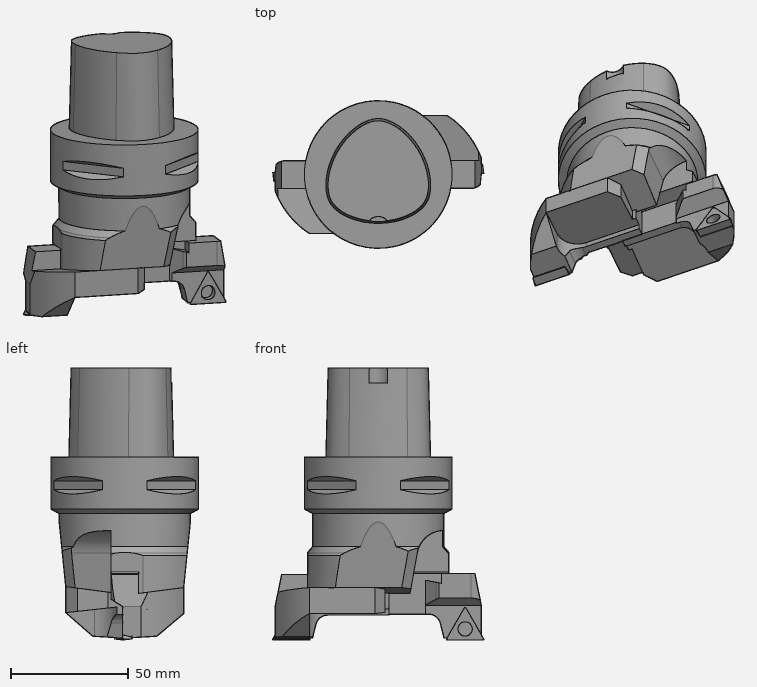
import cadquery as cq
import math


shank_length = 38.0
shank_mean_diameter = 44.7
shank_lobe_offset = 1.5
shank_diameter_taper = 1 / 20
shank_flank_half_angle = 23.3
shank_curve_points = 24
key_radius = 5.0
key_center_y = -22.9
key_depth = 6.5

flange_diameter = 63.0
flange_height = 22.2
flange_chamfer_height = 1.9
hub_diameter = 56.0
collar_start_z = -38.2
collar_edge_z = -40.9
collar_edge_radius = 30.35
collar_full_z = -42.0
collar_radius = 31.1
collar_half_width = 30.1

groove_z = -12.0
groove_floor_radius = 27.9
groove_floor_height = 3.7
groove_flank_angle = 27.5

side_top_z = -27.7
side_top_y = 28.0
arm_half_width = 25.2

tongue_half_width = 5.95
tongue_top_z = -49.6
tongue_groove_top_z = -49.0
seat_inner_z = -57.7
seat_outer_z = -55.2
left_seat_drop = 0.4

pocket_top_z = -31.3
pocket_radius = 11.5
pocket_upper_x, pocket_upper_z = 16.6, -41.0
pocket_lower_x, pocket_lower_z = 13.4, -59.0
pocket_chamfer = 4.0

arm_tip_x = 44.0
arm_tip_top_x = 41.2
arm_inner_x = -2.9
arm_foot_inner_x = -4.5
arm_foot_y = 7.1
arm_shoulder_x = 29.4
arm_back_y = 6.9
arm_back_middle = (37.6, 17.9)
block_round_x, block_round_y = 39.5, -3.8
end_chamfer_x, end_chamfer_y = 4.2, 5.0
arm_side_bottom_z = -66.3
bevel_end_y, bevel_end_z = 13.6, -76.4
tip_bottom_z = -77.2
split_plane_y = 0.0

block_x = 25.8
block_upper_x = 27.0
block_root_x = 20.1
block_facet_x, block_facet_y = 24.6, -4.9
block_notch_z, block_notch_outer_z = -52.5, -53.8
undercut_outer_z, undercut_inner_z = -60.1, -63.3

arch_top_z = -67.0
arch_radius = 5.0
arch_end_x = 28.0
arch_wall_slope = 0.25
clearance_y = 3.2
clearance_inner_z, clearance_outer_z = -63.9, -66.3
clearance_radius = 9.7

insert_inner_radius = 4.7625
insert_corner_radius = 0.4
insert_thickness = 3.97
insert_relief_angle = 7.0
insert_hole_diameter = 6.1
cutting_radius = 44.99
cutting_z = -78.0
right_rake_y = 0.5
left_rake_y = -0.9

reach = 100.0
small_overshoot = 1.0


def half_turn(shape):
    return shape.rotate((0, 0, 0), (0, 0, 1), 180)


def prism_along_x(points):
    """Long prism with a (y, z) outline."""
    return cq.Workplane("YZ", origin=(-reach, 0, 0)).polyline(points).close().extrude(2 * reach)


def prism_along_y(points):
    """Long prism with an (x, z) outline."""
    return cq.Workplane("XZ", origin=(0, reach, 0)).polyline(points).close().extrude(2 * reach)


def seat_z(y):
    """Height of the tilted seat at a distance y from the middle plane."""
    slope = (seat_outer_z - seat_inner_z) / (arm_half_width - tongue_half_width)
    return seat_inner_z + slope * (y - tongue_half_width)



def shank_section(z):
    radius = (shank_mean_diameter - shank_diameter_taper * z) / 2

    def point(t):
        support = radius - shank_lobe_offset * math.sin(3 * t)
        slope = -3 * shank_lobe_offset * math.cos(3 * t)
        return (
            support * math.cos(t) - slope * math.sin(t),
            support * math.sin(t) + slope * math.cos(t),
        )

    def stretch(start, end):
        def curve(u):
            return point(math.radians(start + (end - start) * u))

        return cq.Workplane("XY", origin=(0, 0, z)).parametricCurve(curve, N=shank_curve_points).val()

    stretches = []
    for flank_direction in (30, 150, 270):
        flank_start = flank_direction - shank_flank_half_angle
        flank_end = flank_direction + shank_flank_half_angle
        next_flank_start = flank_start + 120
        stretches.append(stretch(flank_start, flank_end))
        stretches.append(stretch(flank_end, next_flank_start))
    return cq.Wire.combine(stretches)[0]


def make_shank():
    shank = cq.Workplane(cq.Solid.makeLoft([shank_section(0), shank_section(shank_length)], True))
    key = (
        cq.Workplane("XY", origin=(0, key_center_y, shank_length - key_depth))
        .circle(key_radius)
        .extrude(reach)
    )
    return shank.cut(key)


def make_hub():
    flange_radius = flange_diameter / 2
    hub_radius = hub_diameter / 2
    flange_bottom_z = -flange_height - flange_chamfer_height
    return (
        cq.Workplane("XZ")
        .polyline([
            (0, 0),
            (flange_radius, 0),
            (flange_radius, -flange_height),
            (hub_radius, flange_bottom_z),
            (hub_radius, collar_start_z),
            (collar_edge_radius, collar_edge_z),
            (collar_radius, collar_full_z),
            (collar_radius, seat_inner_z - left_seat_drop),
            (0, seat_inner_z - left_seat_drop),
        ])
        .close()
        .revolve(360, (0, 0), (0, 1))
    )


def gripper_groove(angle):
    rise = (reach - groove_floor_radius) * math.tan(math.radians(groove_flank_angle))
    inner = groove_floor_height / 2
    outer = inner + rise
    outline = [
        (groove_floor_radius, groove_z - inner),
        (groove_floor_radius, groove_z + inner),
        (reach, groove_z + outer),
        (reach, groove_z - outer),
    ]
    return prism_along_y(outline).rotate((0, 0, 0), (0, 0, 1), angle)


def seat_space(drop):
    """Space below the adapter on the +Y side, taken up by one arm."""
    return prism_along_x([
        (0, tongue_groove_top_z),
        (tongue_half_width, tongue_groove_top_z),
        (tongue_half_width, seat_inner_z - drop),
        (reach, seat_z(reach) - drop),
        (reach, -reach),
        (0, -reach),
    ])


def side_y(z):
    """Distance of the tilted side flat from the middle plane."""
    slope = (side_top_y - arm_half_width) / (side_top_z - seat_outer_z)
    return side_top_y + slope * (z - side_top_z)


def side_flat():
    """Material outside the tilted flat on the -Y side of the hub."""
    return prism_along_x([
        (-side_top_y, side_top_z),
        (-side_y(-reach), -reach),
        (-reach, -reach),
        (-reach, side_top_z),
    ])


def collar_flat():
    """Material outside the flat on the +X side of the collar."""
    block = cq.Workplane("XY").box(reach, reach, reach, centered=(False, True, False))
    return block.translate((collar_half_width, 0, collar_start_z - reach))


def pocket_wall_slope():
    return (pocket_upper_x - pocket_lower_x) / (pocket_upper_z - pocket_lower_z)


def pocket_wall_x(z):
    return pocket_lower_x + pocket_wall_slope() * (z - pocket_lower_z)


def chip_pocket():
    """Pocket ahead of the right-hand rake face, its sloped wall rounded into the upper end."""
    lean = math.atan(pocket_wall_slope())
    center_z = pocket_top_z - pocket_radius
    center_x = pocket_wall_x(center_z) + pocket_radius / math.cos(lean)
    middle_angle = (math.pi / 2 + lean) / 2

    def rim(angle):
        return center_x - pocket_radius * math.cos(angle), center_z + pocket_radius * math.sin(angle)

    return (
        cq.Workplane("XZ", origin=(0, -tongue_half_width, 0))
        .moveTo(pocket_lower_x, pocket_lower_z)
        .lineTo(*rim(lean))
        .threePointArc(rim(middle_angle), rim(math.pi / 2))
        .lineTo(reach, pocket_top_z)
        .lineTo(reach, pocket_lower_z)
        .close()
        .extrude(reach)
    )


def pocket_corner(z):
    """Section of the chamfer between the pocket wall and the side flat."""
    wall_x = pocket_wall_x(z)
    flat_y = -side_y(z)
    size = 2 * pocket_chamfer
    return cq.Wire.makePolygon(
        [
            cq.Vector(wall_x - size, flat_y - pocket_chamfer, z),
            cq.Vector(wall_x + pocket_chamfer, flat_y - pocket_chamfer, z),
            cq.Vector(wall_x + pocket_chamfer, flat_y + size, z),
        ],
        close=True,
    )


def pocket_chamfer_cut():
    return cq.Workplane(
        cq.Solid.makeLoft([pocket_corner(pocket_lower_z), pocket_corner(collar_start_z)], True)
    )


def make_adapter():
    body = make_hub()
    for angle in (45, 135, 225, 315):
        body = body.cut(gripper_groove(angle))
    for cutter in (side_flat(), collar_flat(), chip_pocket(), pocket_chamfer_cut()):
        body = body.cut(cutter).cut(half_turn(cutter))
    body = body.cut(seat_space(0)).cut(half_turn(seat_space(left_seat_drop)))
    return body.union(make_shank())



def arm_outline():
    """Plan of the right-hand arm."""
    return (
        cq.Workplane("XY", origin=(0, 0, -reach))
        .moveTo(arm_foot_inner_x, -tongue_half_width)
        .lineTo(block_round_x, -tongue_half_width)
        .tangentArcPoint((arm_tip_x, block_round_y), relative=False)
        .lineTo(arm_tip_x, arm_back_y)
        .threePointArc(arm_back_middle, (arm_shoulder_x, arm_half_width))
        .lineTo(arm_inner_x + end_chamfer_x, arm_half_width)
        .lineTo(arm_inner_x, arm_half_width - end_chamfer_y)
        .lineTo(arm_inner_x, arm_foot_y)
        .lineTo(arm_foot_inner_x, arm_foot_y)
        .close()
        .extrude(reach)
    )


def arm_end_view(drop):
    """Section of the arm across X: tongue, tilted seat and bevelled underside."""
    return prism_along_x([
        (-tongue_half_width, tongue_top_z - drop),
        (tongue_half_width, tongue_top_z - drop),
        (tongue_half_width, seat_inner_z - drop),
        (arm_half_width, seat_outer_z - drop),
        (arm_half_width, arm_side_bottom_z - drop),
        (bevel_end_y, bevel_end_z),
        (0, tip_bottom_z),
        (-tongue_half_width, tip_bottom_z),
    ])


def arm_end_slope(drop):
    """Material beyond the sloped upper part of the outer end."""
    return prism_along_y([
        (arm_tip_top_x, tongue_top_z - drop),
        (arm_tip_x, undercut_inner_z - drop),
        (reach, undercut_inner_z - drop),
        (reach, tongue_top_z - drop),
    ])


def split_recess(drop):
    """Room for the other arm, leaving the faceted nose block."""
    front = -2 * tongue_half_width
    lower = (
        cq.Workplane("XY", origin=(0, 0, -reach))
        .polyline([
            (-reach, split_plane_y),
            (block_root_x, split_plane_y),
            (block_facet_x, block_facet_y),
            (block_x, -tongue_half_width),
            (block_x, front),
            (-reach, front),
        ])
        .close()
        .extrude(reach)
    )
    upper = (
        cq.Workplane("XZ", origin=(0, split_plane_y, 0))
        .polyline([
            (block_root_x, 0),
            (block_upper_x, 0),
            (block_upper_x, block_notch_outer_z - drop),
            (block_root_x, block_notch_z - drop),
        ])
        .close()
        .extrude(reach)
    )
    return lower.union(upper)


def rake_recess(rake_y, drop):
    """Room in front of the rake face, below the sloped underside of the nose block."""
    recess = prism_along_x([
        (rake_y, undercut_inner_z - drop),
        (-tongue_half_width, undercut_outer_z - drop),
        (-reach, undercut_outer_z - drop),
        (-reach, -reach),
        (rake_y, -reach),
    ])
    root_side = cq.Workplane("XY").box(reach, 2 * reach, 2 * reach, centered=(False, True, True))
    return recess.intersect(root_side.translate((block_root_x, 0, 0)))


def arch(drop):
    """Arch under the arm: flat top, rounded corner and sloped wall."""
    top_z = arch_top_z - drop
    lean = math.atan(arch_wall_slope)
    center_z = top_z - arch_radius
    wall_at_center_x = arch_end_x - arch_wall_slope * (center_z - tip_bottom_z)
    center_x = wall_at_center_x - arch_radius / math.cos(lean)
    middle_angle = (math.pi / 2 + lean) / 2

    def rim(angle):
        return center_x + arch_radius * math.cos(angle), center_z + arch_radius * math.sin(angle)

    return (
        cq.Workplane("XZ", origin=(0, reach, 0))
        .moveTo(-reach, top_z)
        .lineTo(center_x, top_z)
        .threePointArc(rim(middle_angle), rim(lean))
        .lineTo(arch_end_x + arch_wall_slope * small_overshoot, tip_bottom_z - small_overshoot)
        .lineTo(-reach, tip_bottom_z - small_overshoot)
        .close()
        .extrude(2 * reach)
    )


def arch_clearance(drop):
    """Relief behind the arch, with a curved wall and a tilted top."""
    center_x = arm_shoulder_x - clearance_radius
    center_y = clearance_y + clearance_radius
    diagonal = clearance_radius * math.sqrt(0.5)
    plan = (
        cq.Workplane("XY", origin=(0, 0, -reach))
        .moveTo(-reach, clearance_y)
        .lineTo(center_x, clearance_y)
        .threePointArc((center_x + diagonal, center_y - diagonal), (arm_shoulder_x, center_y))
        .lineTo(arm_shoulder_x, reach)
        .lineTo(-reach, reach)
        .close()
        .extrude(reach)
    )
    below_top = prism_along_x([
        (clearance_y, clearance_inner_z - drop),
        (arm_half_width, clearance_outer_z - drop),
        (arm_half_width, -reach),
        (clearance_y, -reach),
    ])
    return plan.intersect(below_top)


def make_arm(rake_y, drop):
    arm = arm_outline().intersect(arm_end_view(drop))
    cutters = (
        arm_end_slope(drop),
        split_recess(drop),
        rake_recess(rake_y, drop),
        arch(drop),
        arch_clearance(drop),
        insert_blank(rake_y),
    )
    for cutter in cutters:
        arm = arm.cut(cutter)
    return arm



def insert_center(rake_y):
    """Center of the triangle, with its corner on the cutting radius and its edge at the bottom."""
    half_edge = math.sqrt(3) * (insert_inner_radius - insert_corner_radius)
    return cutting_radius - half_edge - insert_corner_radius, rake_y, cutting_z + insert_inner_radius


def insert_blank(rake_y):
    """Triangle with rounded corners, narrowing away from its rake face."""
    triangle = (
        cq.Sketch()
        .regularPolygon(2 * insert_inner_radius, 3)
        .vertices()
        .fillet(insert_corner_radius)
    )
    plane = cq.Plane(origin=insert_center(rake_y), xDir=(-1, 0, 0), normal=(0, 1, 0))
    return cq.Workplane(plane).placeSketch(triangle).extrude(insert_thickness, taper=insert_relief_angle)


def make_insert(rake_y):
    hole = (
        cq.Workplane("XZ", origin=insert_center(rake_y))
        .circle(insert_hole_diameter / 2)
        .extrude(-insert_thickness)
    )
    return insert_blank(rake_y).cut(hole)


adapter = make_adapter()
right_arm = make_arm(right_rake_y, 0)
left_arm = half_turn(make_arm(left_rake_y, left_seat_drop))
right_insert = make_insert(right_rake_y)
left_insert = half_turn(make_insert(left_rake_y))

bodies = [adapter, right_arm, left_arm, right_insert, left_insert]
result = cq.Compound.makeCompound([body.val() for body in bodies])